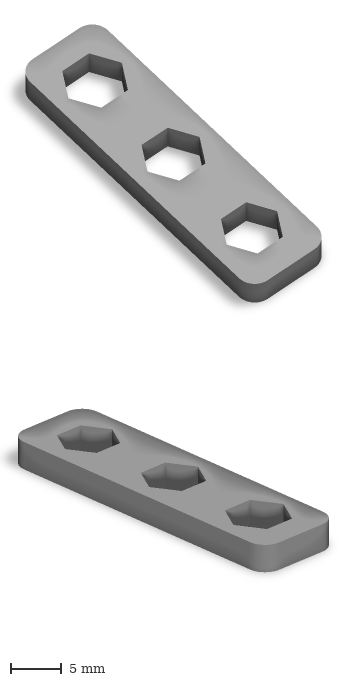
import cadquery as cq

length = 36.0
width = 10.0
thickness = 3.0
corner_radius = 2.0

hole_pitch = length / 3
hole_corner_diameters = [6.88, 6.7, 6.48]
middle_hole = len(hole_corner_diameters) // 2


def make_plate():
    """Flat bar with rounded vertical corners, centred on the origin in X and Y."""
    blank = cq.Workplane("XY").rect(length, width).extrude(thickness)
    return blank.edges("|Z").fillet(corner_radius)


def make_hex_hole(x, corner_diameter):
    """Hexagonal cutter with two corners pointing along Y."""
    hexagon = cq.Workplane("XY").polygon(6, corner_diameter).extrude(thickness)
    return hexagon.rotate((0, 0, 0), (0, 0, 1), 90).translate((x, 0, 0))


result = make_plate()
for index, corner_diameter in enumerate(hole_corner_diameters):
    hole_x = (index - middle_hole) * hole_pitch
    result = result.cut(make_hex_hole(hole_x, corner_diameter))